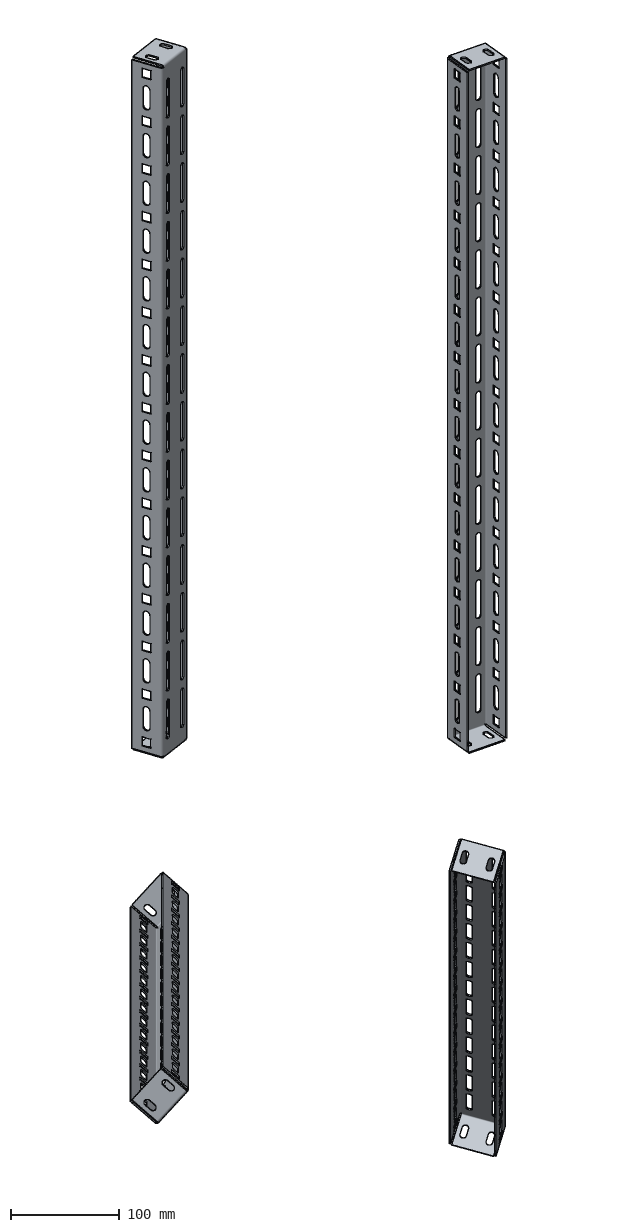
import cadquery as cq

depth = 33.0
width = 45.0
length = 726.0
thickness = 1.5
inner_radius = 1.0
outer_radius = inner_radius + thickness
inside_width = width - 2 * thickness

flat_width = width - 2 * outer_radius
flange_length = length - 2 * outer_radius

pitch = 50.0
slot_count = 14
square_count = slot_count + 1
hole_x = -thickness / 2

flange_slot_length = 25.0
flange_slot_width = 7.5
square_size = 9.5

row_spacing = 25.0
web_slot_length = 41.0
web_slot_width = 6.0
end_slot_length = 13.0
end_slot_width = 6.0


def centred_row(count):
    """Z positions of `count` perforations at the pitch, centred on the origin."""
    first = -pitch * (count - 1) / 2
    return [first + i * pitch for i in range(count)]


def rounded_bar(bar_width, bar_length, edges, radius):
    """Full-depth block with the chosen edges rounded."""
    return cq.Workplane("XY").box(depth, bar_width, bar_length).edges(edges).fillet(radius)


def channel():
    """Web and two flanges, bent along Z."""
    upright_edges = "|Z and >X"
    outer = rounded_bar(width, flange_length, upright_edges, outer_radius)
    inner = rounded_bar(inside_width, flange_length, upright_edges, inner_radius)
    return outer.cut(inner.translate((-thickness, 0, 0)))


def folded_web():
    """Flat web strip whose two ends fold toward -X into end walls."""
    cross_edges = "|Y and >X"
    outer = rounded_bar(flat_width, length, cross_edges, outer_radius)
    inner = rounded_bar(flat_width, length - 2 * thickness, cross_edges, inner_radius)
    return outer.cut(inner.translate((-thickness, 0, 0)))


def bent_sheet():
    """Channel with the flat of its web replaced by the strip that carries the end walls."""
    strip_space = cq.Workplane("XY").box(depth, flat_width, length)
    return channel().cut(strip_space).union(folded_web())


def flange_cut():
    """Alternating slots and squares through both flanges, with a square at each end."""
    slot_points = [(hole_x, z) for z in centred_row(slot_count)]
    square_points = [(hole_x, z) for z in centred_row(square_count)]
    slots = cq.Workplane("XZ").pushPoints(slot_points)
    slots = slots.slot2D(flange_slot_length, flange_slot_width, 90).extrude(width, both=True)
    squares = cq.Workplane("XZ").pushPoints(square_points)
    squares = squares.rect(square_size, square_size).extrude(width, both=True)
    return slots.union(squares)


def web_cut():
    """Two rows of long slots through the web."""
    points = [(side * row_spacing / 2, z) for side in (-1, 1) for z in centred_row(slot_count)]
    slots = cq.Workplane("YZ").pushPoints(points).slot2D(web_slot_length, web_slot_width, 90)
    return slots.extrude(depth)


def end_wall_cut():
    """Two slots along X through both end walls."""
    points = [(hole_x, side * row_spacing / 2) for side in (-1, 1)]
    slots = cq.Workplane("XY").pushPoints(points).slot2D(end_slot_length, end_slot_width)
    return slots.extrude(length, both=True)


result = bent_sheet()
for cutter in (flange_cut(), web_cut(), end_wall_cut()):
    result = result.cut(cutter)